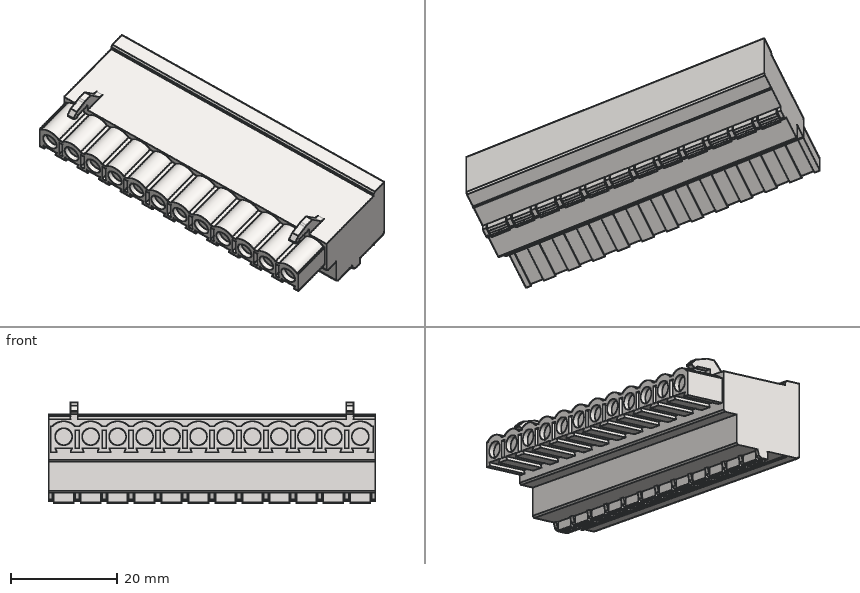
import cadquery as cq
import math


LENGTH = 61.6
DEPTH = 26.6
HEIGHT = 19.0

POLES = 12
PITCH = 5.08

BODY_FRONT = 8.3
STEP_FRONT = 11.45
BODY_BOTTOM = 1.9
STEP_Z = 7.8
DECK_Z = 15.75
RIDGE_Z = 16.7
RIDGE_WIDTH = 3.4
EDGE_CHAMFER = 0.4

BEAD_FROM_BACK = 3.25
BEAD_SIZE = 0.25

BLOCK_MARGIN = 0.45
BLOCK_BOTTOM = 9.6
BLOCK_SHOULDER = 14.5
BARREL_Z = 12.5
BARREL_RADIUS = 2.9
ENTRY_RADIUS = 1.6
ENTRY_DEPTH = 1.1
SLOT_WIDTH = 0.8
SLOT_BOTTOM = 10.35
SLOT_TOP = 13.75
NOTCH_WIDTH_TOP = 3.15
NOTCH_WIDTH_BOTTOM = 2.6

RIB_BACK = DEPTH - 7.65
RIB_FRONT_TOP = DEPTH - 10.1
RIB_FRONT_LOW = DEPTH - 9.7
RIB_FRONT_BOTTOM = DEPTH - 9.2
RIB_BOTTOM = 0.4
RIB_SLOPE_END = 0.75
FOOT_WIDTH = 3.8
FOOT_CLEARANCE = 0.2
FOOT_CHAMFER = 0.2
FOOT_GROOVE_BACK = RIB_BACK - 0.6
FOOT_GROOVE_FRONT = RIB_FRONT_LOW + 0.55
FOOT_GROOVE_TAPER = 0.25

LATCH_INSET = 4.8
LATCH_WIDTH = 1.4
LATCH_ARM_BOTTOM = 17.05
LATCH_FOOT_BACK = DEPTH - 13.55
LATCH_FOOT_RADIUS = 1.7
LATCH_RAMP_ANGLE = math.radians(47.5)
LATCH_CREST_FRONT = DEPTH - 19.0
LATCH_CREST_BEND = DEPTH - 19.45
LATCH_CREST_BEND_Z = 18.9
LATCH_NOSE = DEPTH - 22.7
LATCH_NOSE_Z = 17.3
LATCH_NOSE_FLAT = 0.25
LATCH_BROW_SETBACK = 1.05
LATCH_BROW_Z = 18.35
LATCH_BARB_Z = 16.7
LATCH_BARB_FRONT_SETBACK = 0.75
LATCH_BARB_BACK_SETBACK = 1.2
LATCH_BARB_ROOT_SETBACK = 1.5

OVERLAP = 0.3


def pole_x(index):
    return (index - (POLES - 1) / 2) * PITCH


def extrude_profile(yz_points, x_centre, width):
    """Extrude a YZ outline along X, centred on x_centre."""
    outline = cq.Workplane("YZ", origin=(x_centre - width / 2, 0, 0)).polyline(yz_points)
    return outline.close().extrude(width)


def box_between(x_centre, width, y_min, y_max, z_min, z_max):
    block = cq.Workplane("XY").box(width, y_max - y_min, z_max - z_min, centered=(True, False, False))
    return block.translate((x_centre, y_min, z_min))


def make_body():
    ridge_front = DEPTH - RIDGE_WIDTH
    c = EDGE_CHAMFER
    body = extrude_profile(
        [
            (DEPTH, RIDGE_Z),
            (ridge_front + c, RIDGE_Z),
            (ridge_front, RIDGE_Z - c),
            (ridge_front, DECK_Z),
            (BODY_FRONT, DECK_Z),
            (BODY_FRONT, STEP_Z + c),
            (BODY_FRONT + c, STEP_Z),
            (STEP_FRONT, STEP_Z),
            (STEP_FRONT, BODY_BOTTOM + c),
            (STEP_FRONT + c, BODY_BOTTOM),
            (DEPTH - c, BODY_BOTTOM),
            (DEPTH, BODY_BOTTOM + c),
        ],
        0,
        LENGTH,
    )
    bead_front = DEPTH - BEAD_FROM_BACK - BEAD_SIZE / 2
    bead = box_between(
        0, LENGTH, bead_front, bead_front + BEAD_SIZE, BODY_BOTTOM - BEAD_SIZE, BODY_BOTTOM + OVERLAP
    )
    return body.union(bead)


def make_entry_block():
    back = BODY_FRONT + OVERLAP
    block = box_between(0, LENGTH - 2 * BLOCK_MARGIN, 0, back, BLOCK_BOTTOM, BLOCK_SHOULDER)
    poles = [(pole_x(i), BARREL_Z) for i in range(POLES)]
    for x, z in poles:
        barrel = cq.Workplane("XZ", origin=(x, 0, z)).circle(BARREL_RADIUS).extrude(-back)
        crown_zone = box_between(x, 2 * BARREL_RADIUS, 0, back, BLOCK_SHOULDER - OVERLAP, DECK_Z)
        block = block.union(barrel.intersect(crown_zone))
    entries = cq.Workplane("XZ").pushPoints(poles).circle(ENTRY_RADIUS).extrude(-ENTRY_DEPTH)
    block = block.cut(entries)
    for i in range(POLES - 1):
        slot_x = pole_x(i) + PITCH / 2
        block = block.cut(box_between(slot_x, SLOT_WIDTH, 0, BODY_FRONT, SLOT_BOTTOM, SLOT_TOP))
    for x, _ in poles:
        groove = (
            cq.Workplane("XZ", origin=(x, 0, 0))
            .moveTo(-NOTCH_WIDTH_BOTTOM / 2, BLOCK_BOTTOM)
            .lineTo(NOTCH_WIDTH_BOTTOM / 2, BLOCK_BOTTOM)
            .lineTo(NOTCH_WIDTH_TOP / 2, SLOT_BOTTOM)
            .lineTo(-NOTCH_WIDTH_TOP / 2, SLOT_BOTTOM)
            .close()
            .extrude(-BODY_FRONT)
        )
        block = block.cut(groove)
    return block


def make_rib():
    """Sloped rib along the underside, interrupted by a clearance pocket for each foot."""
    rib = extrude_profile(
        [
            (RIB_BACK, BODY_BOTTOM + OVERLAP),
            (RIB_BACK, RIB_BOTTOM),
            (RIB_FRONT_BOTTOM, RIB_BOTTOM),
            (RIB_FRONT_LOW, RIB_SLOPE_END),
            (RIB_FRONT_TOP, BODY_BOTTOM),
            (RIB_FRONT_TOP, BODY_BOTTOM + OVERLAP),
        ],
        0,
        LENGTH,
    )
    pocket_width = FOOT_WIDTH + 2 * FOOT_CLEARANCE
    for i in range(POLES):
        rib = rib.cut(box_between(pole_x(i), pocket_width, RIB_FRONT_TOP, RIB_BACK, 0, BODY_BOTTOM))
    return rib


def make_foot(x):
    """Block with a front chamfer and a shallow groove that leaves two prongs."""
    return extrude_profile(
        [
            (RIB_BACK, BODY_BOTTOM + OVERLAP),
            (RIB_BACK, 0),
            (FOOT_GROOVE_BACK, 0),
            (FOOT_GROOVE_BACK, RIB_BOTTOM),
            (FOOT_GROOVE_FRONT + FOOT_GROOVE_TAPER, RIB_BOTTOM),
            (FOOT_GROOVE_FRONT, 0),
            (RIB_FRONT_LOW + FOOT_CHAMFER, 0),
            (RIB_FRONT_LOW, FOOT_CHAMFER),
            (RIB_FRONT_LOW, BODY_BOTTOM + OVERLAP),
        ],
        x,
        FOOT_WIDTH,
    )


def make_latch(x):
    """Hook on a ramp that rises from the deck through a rounded root."""
    arc_centre_z = DECK_Z + LATCH_FOOT_RADIUS

    def root_point(angle):
        y = LATCH_FOOT_BACK - LATCH_FOOT_RADIUS * math.sin(angle)
        z = arc_centre_z - LATCH_FOOT_RADIUS * math.cos(angle)
        return y, z

    ramp_y, ramp_z = root_point(LATCH_RAMP_ANGLE)
    crest_back = ramp_y - (HEIGHT - ramp_z) / math.tan(LATCH_RAMP_ANGLE)
    return (
        cq.Workplane("YZ", origin=(x - LATCH_WIDTH / 2, 0, 0))
        .moveTo(BODY_FRONT, DECK_Z - OVERLAP)
        .lineTo(LATCH_FOOT_BACK, DECK_Z - OVERLAP)
        .lineTo(LATCH_FOOT_BACK, DECK_Z)
        .threePointArc(root_point(LATCH_RAMP_ANGLE / 2), (ramp_y, ramp_z))
        .lineTo(crest_back, HEIGHT)
        .lineTo(LATCH_CREST_FRONT, HEIGHT)
        .lineTo(LATCH_CREST_BEND, LATCH_CREST_BEND_Z)
        .lineTo(LATCH_NOSE + LATCH_BROW_SETBACK, LATCH_BROW_Z)
        .lineTo(LATCH_NOSE, LATCH_NOSE_Z + LATCH_NOSE_FLAT / 2)
        .lineTo(LATCH_NOSE, LATCH_NOSE_Z - LATCH_NOSE_FLAT / 2)
        .lineTo(LATCH_NOSE + LATCH_BARB_FRONT_SETBACK, LATCH_BARB_Z)
        .lineTo(LATCH_NOSE + LATCH_BARB_BACK_SETBACK, LATCH_BARB_Z)
        .lineTo(LATCH_NOSE + LATCH_BARB_ROOT_SETBACK, LATCH_ARM_BOTTOM)
        .lineTo(BODY_FRONT, LATCH_ARM_BOTTOM)
        .close()
        .extrude(LATCH_WIDTH)
    )


result = make_body().union(make_entry_block()).union(make_rib())
for pole in range(POLES):
    result = result.union(make_foot(pole_x(pole)))
for side in (-1, 1):
    result = result.union(make_latch(side * (LENGTH / 2 - LATCH_INSET)))